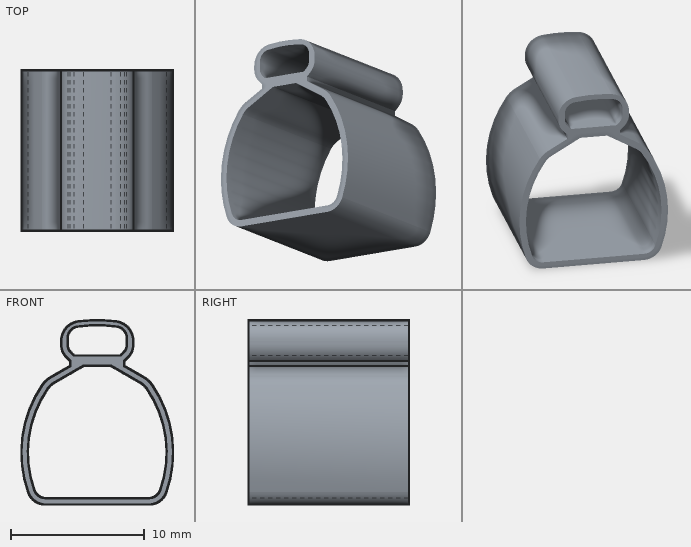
import cadquery as cq
import math

length = 12.0
total_height = 13.79
wall = 0.5

body_half_width = 5.675
bulge_height = 3.9
bulge_radius = 8.9
roof_angle = math.radians(30)
floor_corner_radius = 1.4
shoulder_radius = 2.0
ceiling_height = 10.37

neck_half_width = 2.02
neck_base = ceiling_height
neck_top = 10.73

loop_half_width = 2.7
loop_floor = 11.15
crown_radius = 12.0
crown_wall = 0.385
flank_radius = 1.3
crown_corner_radius = 1.5
bore_crown_radius = 10.0
bore_crown_corner_radius = 0.85


def extrude_along_y(sketch):
    """Extrude an XZ outline symmetrically about the XZ plane."""
    return sketch.extrude(length / 2, both=True)


def block(half_width, bottom, top):
    """Full-length rectangular block centred on X = 0."""
    return extrude_along_y(
        cq.Workplane("XZ").center(0, (bottom + top) / 2).rect(2 * half_width, top - bottom)
    )


def fillet_between(prism, low, high, radius):
    """Round the lengthwise edges lying between two heights."""
    band = cq.selectors.BoxSelector((-body_half_width, -length, low), (body_half_width, length, high))
    return prism.edges("|Y").edges(band).fillet(radius)


def body_prism(inset):
    """Large tube section moved inward by inset, as a solid prism."""
    half_width = body_half_width - inset
    radius = bulge_radius - inset
    tip_offset = math.sqrt(radius**2 - (radius - half_width) ** 2)
    low_tip = (0, bulge_height - tip_offset)
    high_tip = (0, bulge_height + tip_offset)
    lens = extrude_along_y(
        cq.Workplane("XZ")
        .moveTo(*low_tip)
        .threePointArc((half_width, bulge_height), high_tip)
        .threePointArc((-half_width, bulge_height), low_tip)
        .close()
    )

    ridge = neck_base + neck_half_width * math.tan(roof_angle) - inset / math.cos(roof_angle)
    eaves = ridge - body_half_width * math.tan(roof_angle)
    gable = extrude_along_y(
        cq.Workplane("XZ").polyline([
            (-body_half_width, inset),
            (body_half_width, inset),
            (body_half_width, eaves),
            (0, ridge),
            (-body_half_width, eaves),
        ]).close()
    )
    prism = lens.intersect(gable)
    prism = prism.edges("|Y and <Z").fillet(floor_corner_radius - inset)
    return fillet_between(prism, bulge_height, ridge - wall, shoulder_radius - inset)


def loop_prism(inset, bottom, crown_top, top_radius, corner_radius):
    """Small tube section moved inward by inset, as a solid prism from bottom to crown_top."""
    half_width = loop_half_width - inset
    crown_edge = crown_top - top_radius + math.sqrt(top_radius**2 - half_width**2)
    flank_shift = neck_half_width - neck_top - inset * math.sqrt(2)
    flank_top = half_width - flank_shift
    bottom_half_width = bottom + flank_shift
    prism = extrude_along_y(
        cq.Workplane("XZ")
        .moveTo(-bottom_half_width, bottom)
        .lineTo(bottom_half_width, bottom)
        .lineTo(half_width, flank_top)
        .lineTo(half_width, crown_edge)
        .threePointArc((0, crown_top), (-half_width, crown_edge))
        .lineTo(-half_width, flank_top)
        .close()
    )
    mid_height = (flank_top + crown_edge) / 2
    prism = fillet_between(prism, mid_height, crown_top, corner_radius)
    flank_low = (bottom + flank_top) / 2
    return fillet_between(prism, flank_low, mid_height, flank_radius - inset)


neck = block(neck_half_width, neck_base, neck_top)
below_ceiling = block(body_half_width, 0, ceiling_height)

body = body_prism(0).intersect(below_ceiling)
loop = loop_prism(0, neck_top, total_height, crown_radius, crown_corner_radius)
outside = body.union(neck).union(loop)
body_bore = body_prism(wall).intersect(below_ceiling)
loop_bore = loop_prism(
    wall, loop_floor, total_height - crown_wall, bore_crown_radius, bore_crown_corner_radius
)

result = outside.cut(body_bore).cut(loop_bore)